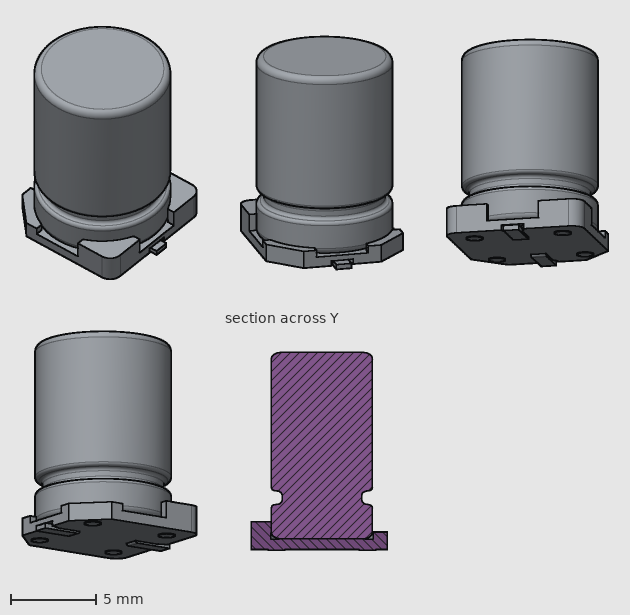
import cadquery as cq

total_height = 11.7
lead_span = 9.0
base_side = 8.3

can_diameter = 8.0
can_radius = can_diameter / 2
neck_diameter = 7.13
neck_radius = neck_diameter / 2
can_edge_radius = 0.41
can_bottom_z = 0.75
neck_middle_z = 3.17
neck_straight_height = 0.33
neck_arc_radius = (can_radius - neck_radius) / 2

base_bottom_z = 0.13
base_low_top_z = 1.17
base_high_top_z = 1.77
base_chamfer = 1.8
base_corner_radius = 0.76
notch_width = 3.14
foot_diameter = 1.0
foot_offset = 2.67
foot_height = 0.05

lead_width = 0.91
lead_thickness = 0.3
lead_inner_x = 2.01
lead_bend_radius = 0.15
lead_outer_x = lead_span / 2
lead_length = lead_outer_x - lead_inner_x
slot_diameter = 1.33
slot_height = 0.3

SIDES = (-1, 1)


def slab(length, width, bottom_z, top_z):
    """Box centred on the Z axis between two heights."""
    return cq.Workplane("XY").workplane(offset=bottom_z).rect(length, width).extrude(top_z - bottom_z)


def make_can():
    """Round can with rounded ends and a groove, each groove side an S-curve of two quarter arcs."""
    bend = neck_arc_radius
    middle_radius = neck_radius + bend
    neck_low_z = neck_middle_z - neck_straight_height / 2
    neck_high_z = neck_middle_z + neck_straight_height / 2
    profile = (
        cq.Workplane("XZ")
        .moveTo(0, can_bottom_z)
        .lineTo(can_radius, can_bottom_z)
        .lineTo(can_radius, neck_low_z - 2 * bend)
        .radiusArc((middle_radius, neck_low_z - bend), -bend)
        .radiusArc((neck_radius, neck_low_z), bend)
        .lineTo(neck_radius, neck_high_z)
        .radiusArc((middle_radius, neck_high_z + bend), bend)
        .radiusArc((can_radius, neck_high_z + 2 * bend), -bend)
        .lineTo(can_radius, total_height)
        .lineTo(0, total_height)
        .close()
    )
    can = profile.revolve(360, (0, 0, 0), (0, 1, 0))
    return can.faces("<Z or >Z").edges().fillet(can_edge_radius)


def make_lead(side):
    """Flat lead that runs inward under the base and bends up to the can bottom."""
    flat = cq.Workplane("XY").box(lead_length, lead_width, lead_thickness, centered=(False, True, False))
    riser = cq.Workplane("XY").box(lead_thickness, lead_width, can_bottom_z, centered=(False, True, False))
    lead = flat.union(riser).faces("<X").edges("<Z").fillet(lead_bend_radius)
    lead = lead.translate((lead_inner_x, 0, 0))
    return lead if side > 0 else lead.mirror("YZ")


def make_base_block():
    """Square plate with chamfered -X corners, rounded +X corners and taller +X corner posts."""
    block = slab(base_side, base_side, base_bottom_z, base_high_top_z)
    block = block.edges("|Z and <X").chamfer(base_chamfer)
    block = block.edges("|Z and >X").fillet(base_corner_radius)
    step_height = base_high_top_z - base_low_top_z
    low_side = cq.Workplane("XY").box(base_side, base_side, step_height, centered=(False, True, False))
    return block.cut(low_side.translate((notch_width / 2 - base_side, 0, base_low_top_z)))


def cut_seat_and_notches(base):
    """Round seat for the can, open to all four sides through notches at the seat floor."""
    seat = (
        cq.Workplane("XY")
        .workplane(offset=can_bottom_z)
        .circle(can_radius)
        .extrude(base_high_top_z - can_bottom_z)
    )
    notch_along_x = slab(base_side, notch_width, can_bottom_z, base_high_top_z)
    notch_along_y = slab(notch_width, base_side, can_bottom_z, base_high_top_z)
    return base.cut(seat).cut(notch_along_x).cut(notch_along_y)


def cut_lead_slots(base):
    """Half-round clearance around each lead where it leaves the base."""
    slots = (
        cq.Workplane("XY")
        .workplane(offset=base_bottom_z)
        .pushPoints([(side * base_side / 2, 0) for side in SIDES])
        .circle(slot_diameter / 2)
        .extrude(slot_height)
    )
    return base.cut(slots)


def add_feet(base):
    """Four round standoff pads under the base corners."""
    feet = (
        cq.Workplane("XY")
        .workplane(offset=base_bottom_z)
        .rect(2 * foot_offset, 2 * foot_offset, forConstruction=True)
        .vertices()
        .circle(foot_diameter / 2)
        .extrude(-foot_height)
    )
    return base.union(feet)


leads = [make_lead(side) for side in SIDES]
capacitor = make_can()
for lead in leads:
    capacitor = capacitor.union(lead)

base = add_feet(cut_lead_slots(cut_seat_and_notches(make_base_block())))
for lead in leads:
    base = base.cut(lead)

result = cq.Compound.makeCompound([capacitor.solids().val(), base.solids().val()])